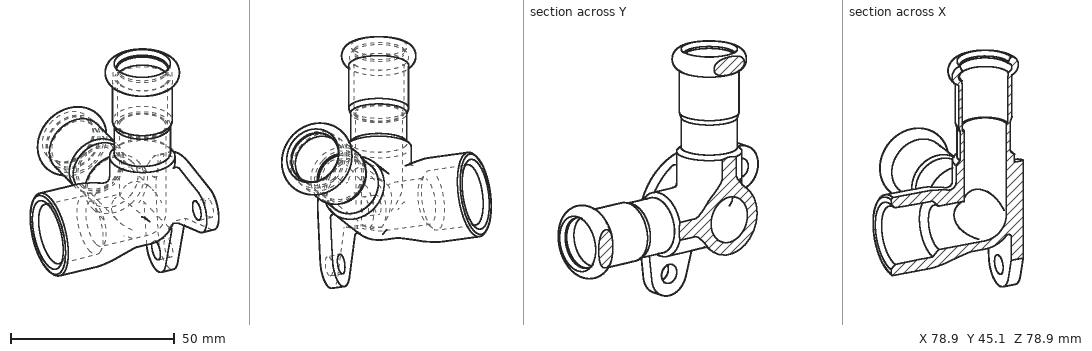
import cadquery as cq
import math


ARM_LENGTH = 52.2
BEAD_RADIUS = 3.2
BEAD_OUTER_RADIUS = 11.4
SOCKET_RADIUS = 9.2
SOCKET_START = 32.1
NECK_RADIUS = 8.6
NECK_TAPER = 1.6
HUB_RADIUS = 20.0 / 2
HUB_ARM_END = 20.9
HUB_CHAMFER = 1.35

BORE_RADIUS = 7.1
MOUTH_RADIUS = 8.6
LIP_RADIUS = 15.7 / 2
SOCKET_BORE_RADIUS = 7.7
GROOVE_RADIUS = 9.0
MOUTH_DEPTH = 1.6
LIP_WIDTH = 0.6
LIP_TAPER = 0.8
GROOVE_WIDTH = 2.85
TUBE_STOP = SOCKET_START - NECK_TAPER

PORT_LENGTH = 32.1
PORT_RADIUS = 26.0 / 2
PORT_STRAIGHT_START = 18.8
PORT_CURVE_START = 13.6
PORT_CURVE_RADIUS = 12.25
PORT_CONE_START = 5.05
PORT_EDGE_CHAMFER = 0.6
THREAD_RADIUS = 9.3
THREAD_END_RADIUS = 9.2
THREAD_MOUTH_RADIUS = 10.75
THREAD_DEPTH = 14.2

PLATE_BACK = 12.95
PLATE_THICKNESS = 4.1
PLATE_FRONT = PLATE_BACK - PLATE_THICKNESS
PLATE_ARC_RADIUS = 20.85
PLATE_ARC_OFFSET = 3.5
EAR_RADIUS = 6.95
EAR_LONG = 19.8
EAR_SHORT = 8.5
EAR_HOLE_DIAMETER = 6.0

PLATE_FILLET = 0.95
PORT_FILLET = 2.0
SELECTION_TOLERANCE = 0.01


def polar(center, radius, angle):
    return (center[0] + radius * math.cos(angle), center[1] + radius * math.sin(angle))


def revolve_profile(points):
    """Solid of revolution about Z from (radius, height) points."""
    return cq.Workplane("XZ").polyline(points).close().revolve(360, (0, 0, 0), (0, 1, 0))


def toward_left(shape):
    """Turn a shape built along +Z so that it runs along -X."""
    return shape.rotate((0, 0, 0), (0, 1, 0), -90)


def toward_front(shape):
    """Turn a shape built along +Z so that it runs along -Y."""
    return shape.rotate((0, 0, 0), (1, 0, 0), 90)


def arm_hub():
    return cq.Workplane("XY").circle(HUB_RADIUS).extrude(HUB_ARM_END).faces(">Z").chamfer(HUB_CHAMFER)


def arm_tube():
    bead_center = ARM_LENGTH - BEAD_RADIUS
    bead_ring_radius = BEAD_OUTER_RADIUS - BEAD_RADIUS
    bead_rise = math.sqrt(BEAD_RADIUS**2 - (SOCKET_RADIUS - bead_ring_radius) ** 2)
    return (
        cq.Workplane("XZ")
        .lineTo(NECK_RADIUS, 0)
        .lineTo(NECK_RADIUS, SOCKET_START - NECK_TAPER)
        .lineTo(SOCKET_RADIUS, SOCKET_START)
        .lineTo(SOCKET_RADIUS, bead_center - bead_rise)
        .threePointArc((BEAD_OUTER_RADIUS, bead_center), (bead_ring_radius, ARM_LENGTH))
        .lineTo(0, ARM_LENGTH)
        .close()
        .revolve(360, (0, 0, 0), (0, 1, 0))
    )


def arm_bore():
    """Stepped bore with a rounded seal groove between two lips, closed by a dome around the origin."""
    lip_top = ARM_LENGTH - MOUTH_DEPTH
    groove_top = lip_top - LIP_WIDTH
    groove_bottom = groove_top - GROOVE_WIDTH
    lower_lip_bottom = groove_bottom - LIP_WIDTH
    stepped_bore = (
        cq.Workplane("XZ")
        .lineTo(BORE_RADIUS, 0)
        .lineTo(BORE_RADIUS, TUBE_STOP)
        .lineTo(SOCKET_BORE_RADIUS, TUBE_STOP)
        .lineTo(SOCKET_BORE_RADIUS, lower_lip_bottom - LIP_TAPER)
        .lineTo(LIP_RADIUS, lower_lip_bottom)
        .lineTo(LIP_RADIUS, groove_bottom)
        .threePointArc((GROOVE_RADIUS, (groove_bottom + groove_top) / 2), (LIP_RADIUS, groove_top))
        .lineTo(LIP_RADIUS, lip_top)
        .lineTo(MOUTH_RADIUS, ARM_LENGTH)
        .lineTo(0, ARM_LENGTH)
        .close()
        .revolve(360, (0, 0, 0), (0, 1, 0))
    )
    return stepped_bore.union(cq.Workplane("XY").sphere(BORE_RADIUS))


def port_body():
    """Port outside: a domed hub behind the arms, a flare and a straight end."""
    cone_slope = (PORT_CURVE_RADIUS - HUB_RADIUS) / (PORT_CURVE_START - PORT_CONE_START)
    dome_middle = polar((0, 0), HUB_RADIUS, math.radians(-45))
    body = (
        cq.Workplane("XZ")
        .moveTo(0, -HUB_RADIUS)
        .threePointArc(dome_middle, (HUB_RADIUS, 0))
        .lineTo(HUB_RADIUS, PORT_CONE_START)
        .lineTo(PORT_CURVE_RADIUS, PORT_CURVE_START)
        .spline(
            [(PORT_RADIUS, PORT_STRAIGHT_START)],
            tangents=[(cone_slope, 1), (0, 1)],
            includeCurrent=True,
        )
        .lineTo(PORT_RADIUS, PORT_LENGTH - PORT_EDGE_CHAMFER)
        .lineTo(PORT_RADIUS - PORT_EDGE_CHAMFER, PORT_LENGTH)
        .lineTo(0, PORT_LENGTH)
        .close()
        .revolve(360, (0, 0, 0), (0, 1, 0))
    )
    return toward_front(body)


def port_bore():
    thread_end = PORT_LENGTH - THREAD_DEPTH
    cone_depth = THREAD_END_RADIUS - BORE_RADIUS
    mouth_depth = THREAD_MOUTH_RADIUS - THREAD_RADIUS
    return toward_front(revolve_profile([
        (0, 0),
        (BORE_RADIUS, 0),
        (BORE_RADIUS, thread_end - cone_depth),
        (THREAD_END_RADIUS, thread_end),
        (THREAD_RADIUS, PORT_LENGTH - mouth_depth),
        (THREAD_MOUTH_RADIUS, PORT_LENGTH),
        (0, PORT_LENGTH),
    ]))


def mirrored(point):
    """Mirror an (x, z) point across the plate's diagonal z = -x."""
    return (-point[1], -point[0])


def plate_prism(height):
    """Rounded outline with two ears, grown forward from the plate back.

    The outer sides are tangent to the back arc and the ears; the inner sides
    run from the ears to the arc center.
    """
    arc_center = (PLATE_ARC_OFFSET, -PLATE_ARC_OFFSET)
    ear_center = (EAR_LONG, EAR_SHORT)
    dx = ear_center[0] - arc_center[0]
    dz = ear_center[1] - arc_center[1]
    distance = math.hypot(dx, dz)
    heading = math.atan2(dz, dx)
    outer_angle = heading + math.acos((PLATE_ARC_RADIUS - EAR_RADIUS) / distance)
    inner_angle = heading - math.acos(-EAR_RADIUS / distance)

    arc_end = polar(arc_center, PLATE_ARC_RADIUS, outer_angle)
    arc_middle = polar(arc_center, PLATE_ARC_RADIUS, math.radians(135))
    ear_outer = polar(ear_center, EAR_RADIUS, outer_angle)
    ear_tip = polar(ear_center, EAR_RADIUS, 0)
    ear_inner = polar(ear_center, EAR_RADIUS, inner_angle)
    return (
        cq.Workplane("XZ", origin=(0, PLATE_BACK, 0))
        .moveTo(*arc_end)
        .lineTo(*ear_outer)
        .threePointArc(ear_tip, ear_inner)
        .lineTo(*arc_center)
        .lineTo(*mirrored(ear_inner))
        .threePointArc(mirrored(ear_tip), mirrored(ear_outer))
        .lineTo(*mirrored(arc_end))
        .threePointArc(arc_middle, arc_end)
        .close()
        .extrude(height)
    )


def is_arm_crease(edge):
    """True for the inside corner where the two arms meet."""
    middle = edge.positionAt(0.5)
    return abs(middle.x + middle.z) < SELECTION_TOLERANCE and middle.x < -HUB_RADIUS / 2


def is_port_seam(edge):
    """True for the curves where the arms meet the flared port."""
    return edge.geomType() == "BSPLINE" and edge.positionAt(0.5).y > -PORT_CURVE_START


def fillet_edges(shape, radius, wanted):
    edges = [edge for edge in shape.val().Edges() if wanted(edge)]
    return cq.Workplane(shape.val().fillet(radius, edges))


def filleted_hub():
    hub = port_body().union(arm_hub()).union(toward_left(arm_hub()))
    return fillet_edges(hub, PORT_FILLET, lambda edge: is_arm_crease(edge) or is_port_seam(edge))


def mounting_plate():
    """Plate with a filleted foot around the arms.

    The foot is filleted on an oversized slab crossed by plain arm stubs, so that
    its fillet runs out over the plate rim when trimmed to the plate outline.
    """
    slab_half = EAR_LONG + EAR_RADIUS
    stub = cq.Workplane("XY").circle(HUB_RADIUS).extrude(slab_half + HUB_RADIUS)
    slab = (
        cq.Workplane("XZ", origin=(0, PLATE_BACK, 0))
        .rect(2 * slab_half, 2 * slab_half)
        .extrude(PLATE_THICKNESS)
    )
    foot = stub.union(toward_left(stub)).union(cq.Workplane("XY").sphere(HUB_RADIUS)).union(slab)

    def is_foot_edge(edge):
        middle = edge.positionAt(0.5)
        on_plate = abs(middle.y - PLATE_FRONT) < SELECTION_TOLERANCE
        inside_slab = max(abs(middle.x), abs(middle.z)) < slab_half - SELECTION_TOLERANCE
        return on_plate and inside_slab

    foot = fillet_edges(foot, PLATE_FILLET, lambda edge: is_foot_edge(edge) or is_arm_crease(edge))
    return foot.intersect(plate_prism(PLATE_BACK))


def ear_holes():
    ear_center = (EAR_LONG, EAR_SHORT)
    return (
        cq.Workplane("XZ", origin=(0, PLATE_BACK, 0))
        .pushPoints([ear_center, mirrored(ear_center)])
        .circle(EAR_HOLE_DIAMETER / 2)
        .extrude(PLATE_THICKNESS)
    )


fitting = filleted_hub().union(mounting_plate())
fitting = fitting.union(arm_tube()).union(toward_left(arm_tube()))
result = fitting.cut(ear_holes()).cut(port_bore()).cut(arm_bore()).cut(toward_left(arm_bore()))